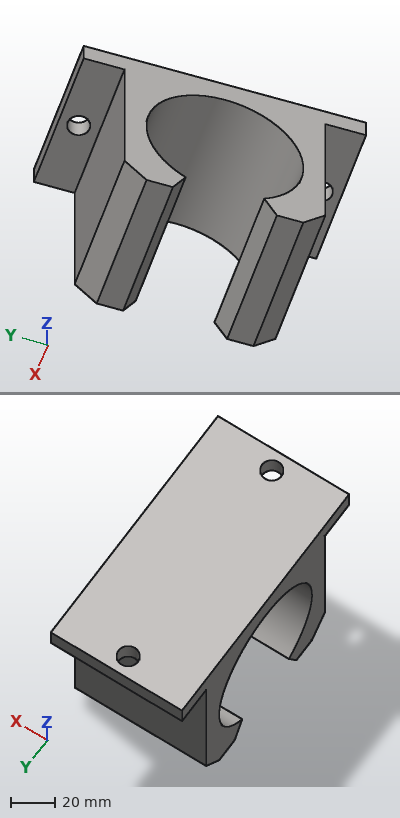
import cadquery as cq
import math

length_x = 72.0
plate_width = 135.0
height = 93.0

plate_thickness = 10.0
hole_diameter = 10.5
hole_spacing = 116.0

body_width = 96.0
corner_chamfer = 10.5
bore_diameter = 75.0
bore_axis_depth = 50.0
mouth_half_angle = 30.0

top_z = bore_axis_depth
bottom_z = top_z - height


def make_plate():
    """Flat plate with one fixing hole near each end."""
    return (
        cq.Workplane("XY")
        .workplane(offset=top_z - plate_thickness)
        .rect(length_x, plate_width)
        .pushPoints([(0, -hole_spacing / 2), (0, hole_spacing / 2)])
        .circle(hole_diameter / 2)
        .extrude(plate_thickness)
    )


def make_body():
    """Block with its two lower outer edges chamfered."""
    return (
        cq.Workplane("XY")
        .workplane(offset=bottom_z)
        .rect(length_x, body_width)
        .extrude(height)
        .edges("|X and <Z")
        .chamfer(corner_chamfer)
    )


def make_bore():
    """Cylinder that forms the round seat."""
    return cq.Workplane("YZ").circle(bore_diameter / 2).extrude(length_x / 2, both=True)


def make_mouth():
    """Wedge opening the seat downwards, with sides radial to the bore."""
    half_width = -bottom_z * math.tan(math.radians(mouth_half_angle))
    return (
        cq.Workplane("YZ")
        .polyline([(0, 0), (half_width, bottom_z), (-half_width, bottom_z)])
        .close()
        .extrude(length_x / 2, both=True)
    )


result = make_plate().union(make_body()).cut(make_bore()).cut(make_mouth())